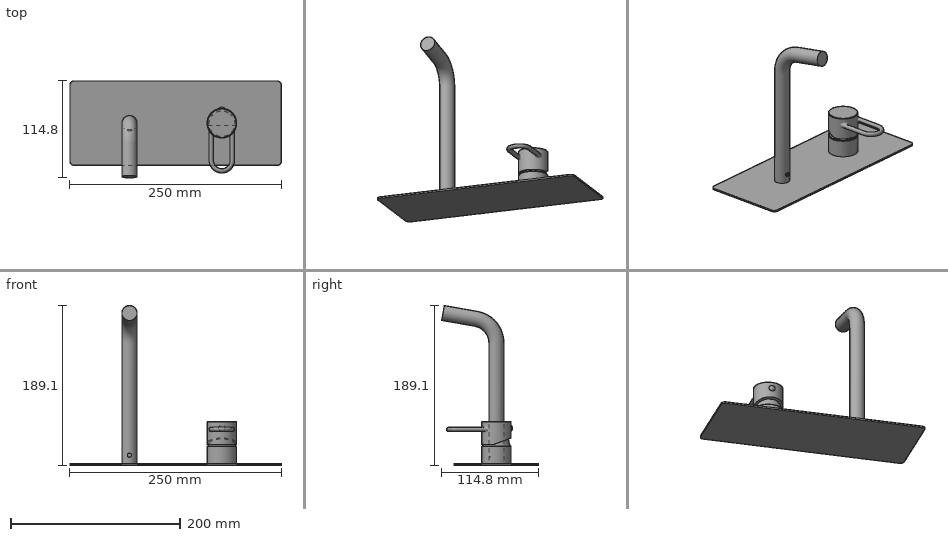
import cadquery as cq
import math

plate_length = 250.0
plate_width = 100.0
plate_thickness = 2.0
plate_corner_radius = 5.0

spout_x = -54.6
spout_diameter = 18.0
spout_bend_radius = 29.0
spout_rise_angle = 10.0
overall_depth = 114.78
spout_reach = overall_depth - plate_width / 2
spout_top = 189.08
set_screw_diameter = 4.8
set_screw_depth = 1.5
set_screw_z = 12.0

valve_x = -spout_x
valve_diameter = 35.0
valve_edge_chamfer = 0.7
base_top = 23.0
neck_bottom_radius = 16.4
neck_middle_radius = 15.1
neck_top_radius = 14.4
neck_top = 31.0

knob_bottom = 25.0
knob_top = 52.0
knob_slope_angle = 20.3
knob_slope_start_y = -2.5
lever_z = 42.6
lever_rod_diameter = 5.2
lever_width = 30.2
lever_reach = 59.0
lever_fillet = 1.8
button_z = 44.0
button_radius = 3.5
button_height = 1.5

valve_radius = valve_diameter / 2


def make_plate():
    return (
        cq.Workplane("XY")
        .rect(plate_length, plate_width)
        .extrude(plate_thickness)
        .edges("|Z")
        .fillet(plate_corner_radius)
    )


def make_spout():
    radius = spout_diameter / 2
    rise = math.radians(spout_rise_angle)
    bend_sweep = math.pi / 2 - rise

    end_y = -(spout_reach - radius * math.sin(rise))
    end_z = spout_top - radius * math.cos(rise)
    bend_end_y = -spout_bend_radius * (1 - math.cos(bend_sweep))
    bend_end_z = end_z - (bend_end_y - end_y) * math.tan(rise)
    bend_start_z = bend_end_z - spout_bend_radius * math.sin(bend_sweep)
    middle = (
        -spout_bend_radius * (1 - math.cos(bend_sweep / 2)),
        bend_start_z + spout_bend_radius * math.sin(bend_sweep / 2),
    )

    path = (
        cq.Workplane("YZ", origin=(spout_x, 0, 0))
        .moveTo(0, plate_thickness)
        .lineTo(0, bend_start_z)
        .threePointArc(middle, (bend_end_y, bend_end_z))
        .lineTo(end_y, end_z)
    )
    bar = cq.Workplane("XY", origin=(spout_x, 0, plate_thickness)).circle(radius).sweep(path)
    set_screw_hole = (
        cq.Workplane("XZ", origin=(spout_x, set_screw_depth - radius, set_screw_z))
        .circle(set_screw_diameter / 2)
        .extrude(radius)
    )
    return bar.cut(set_screw_hole)


def make_knob_envelope():
    """Cylinder of the knob, its underside flat in front and sloping up towards the back."""
    slope_run = valve_radius - knob_slope_start_y
    slope_rise = slope_run * math.tan(math.radians(knob_slope_angle))
    return (
        cq.Workplane("YZ", origin=(valve_x - valve_radius, 0, 0))
        .moveTo(-valve_radius, knob_bottom)
        .lineTo(knob_slope_start_y, knob_bottom)
        .lineTo(valve_radius, knob_bottom + slope_rise)
        .lineTo(valve_radius, knob_top)
        .lineTo(-valve_radius, knob_top)
        .close()
        .extrude(valve_diameter)
        .intersect(
            cq.Workplane("XY", origin=(valve_x, 0, 0))
            .circle(valve_radius)
            .extrude(knob_top)
            .faces(">Z")
            .chamfer(valve_edge_chamfer)
        )
    )


def make_valve_base(knob_envelope):
    column = (
        cq.Workplane("XY", origin=(valve_x, 0, plate_thickness))
        .circle(valve_radius)
        .extrude(base_top - plate_thickness)
        .faces(">Z")
        .chamfer(valve_edge_chamfer)
    )
    neck_height = neck_top - base_top
    neck = (
        cq.Workplane("XZ", origin=(valve_x, 0, base_top))
        .lineTo(neck_bottom_radius, 0)
        .threePointArc((neck_middle_radius, neck_height / 2), (neck_top_radius, neck_height))
        .lineTo(0, neck_height)
        .close()
        .revolve(360, (0, 0, 0), (0, 1, 0))
    )
    return column.union(neck.cut(knob_envelope))


def make_lever():
    loop_radius = (lever_width - lever_rod_diameter) / 2
    loop_y = -(lever_reach - lever_width / 2)
    path = (
        cq.Workplane("XY", origin=(valve_x, 0, lever_z))
        .moveTo(-loop_radius, 0)
        .lineTo(-loop_radius, loop_y)
        .threePointArc((0, loop_y - loop_radius), (loop_radius, loop_y))
        .lineTo(loop_radius, 0)
    )
    return (
        cq.Workplane("XZ", origin=(valve_x - loop_radius, 0, lever_z))
        .circle(lever_rod_diameter / 2)
        .sweep(path)
    )


def make_button():
    """Shallow dome on the back of the knob."""
    sphere_radius = (button_radius**2 + button_height**2) / (2 * button_height)
    centre_y = valve_radius + button_height - sphere_radius
    return cq.Workplane("XY", origin=(valve_x, centre_y, button_z)).sphere(sphere_radius)


def make_handle(knob_envelope):
    lever_joint = cq.selectors.BoxSelector(
        (valve_x - valve_radius, -valve_radius, lever_z - lever_rod_diameter),
        (valve_x + valve_radius, 0, lever_z + lever_rod_diameter),
    )
    return (
        knob_envelope.union(make_lever())
        .edges(lever_joint)
        .fillet(lever_fillet)
        .union(make_button())
    )


knob_envelope = make_knob_envelope()
fixed_body = make_plate().union(make_spout()).union(make_valve_base(knob_envelope))
handle = make_handle(knob_envelope)

result = cq.Compound.makeCompound([fixed_body.solids().val(), handle.solids().val()])